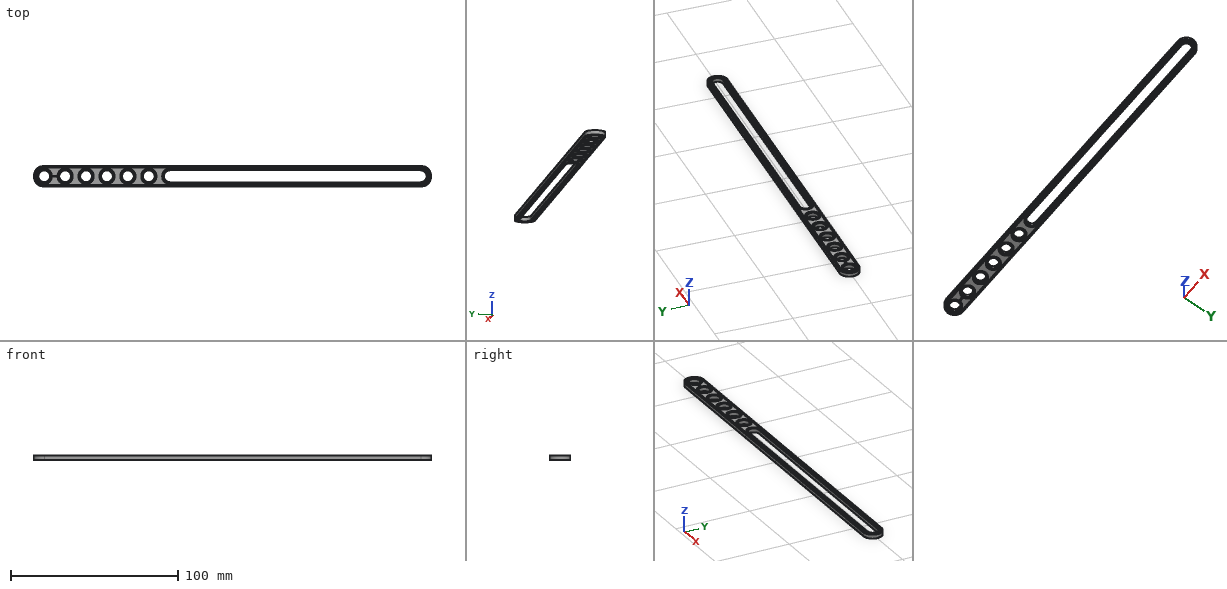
import cadquery as cq

length = 237.5
thickness = 3.0
pitch_count = 19
round_hole_count = 6
hole_diameter = 7.0
collar_diameter = 9.3
rim_width = 1.07
pocket_depth = 0.3
rib_width = 0.7
edge_chamfer = 0.3

pitch = length / pitch_count
width = pitch
web_thickness = thickness - 2 * pocket_depth
first_hole_x = -length / 2 + pitch / 2
hole_xs = [first_hole_x + i * pitch for i in range(round_hole_count)]
slot_start_x = first_hole_x + round_hole_count * pitch
slot_end_x = length / 2 - pitch / 2
slot_center_x = (slot_start_x + slot_end_x) / 2
slot_center_distance = slot_end_x - slot_start_x


def round_ended_bar(bar_length, bar_width, height):
    """Bar with semicircular ends, centred on the origin."""
    return cq.Workplane("XY").slot2D(bar_length, bar_width).extrude(height / 2, both=True)


def make_openings(diameter):
    """Separate full-height columns for each round hole and the slot, all of the given width."""
    column = cq.Workplane("XY").circle(diameter / 2).extrude(thickness / 2, both=True)
    slot = round_ended_bar(slot_center_distance + diameter, diameter, thickness)
    columns = [column.translate((x, 0, 0)) for x in hole_xs]
    return columns + [slot.translate((slot_center_x, 0, 0))]


def make_blank():
    """Solid bar with round ends and broken outer edges."""
    blank = round_ended_bar(length, width, thickness)
    return blank.faces("|Z").edges().chamfer(edge_chamfer)


def cut_openings(body):
    """Cut the holes and the slot, then break their edges at both faces."""
    for opening in make_openings(hole_diameter):
        body = body.cut(opening)
    inner_edges = cq.selectors.BoxSelector(
        (-length / 2 + rim_width, -collar_diameter / 2, -thickness),
        (length / 2 - rim_width, collar_diameter / 2, thickness),
        boundingbox=True,
    )
    return body.faces("|Z").edges(inner_edges).chamfer(edge_chamfer)


def make_pocket():
    """Recess between the rim, the collars and the rib, filling the full height."""
    pocket = round_ended_bar(length - 2 * rim_width, width - 2 * rim_width, thickness)
    for collar in make_openings(collar_diameter):
        pocket = pocket.cut(collar)
    rib = cq.Workplane("XY").box(pitch, rib_width, thickness)
    return pocket.cut(rib.translate((first_hole_x + pitch / 2, 0, 0)))


web = cq.Workplane("XY").box(length, width, web_thickness)
result = cut_openings(make_blank()).cut(make_pocket().cut(web))